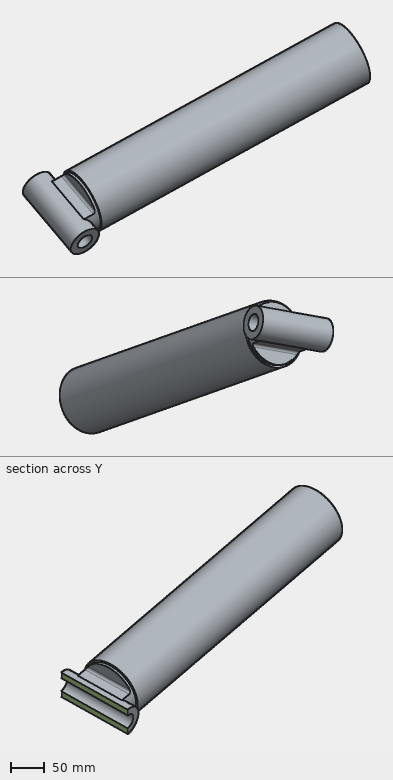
import cadquery as cq
import math

overall_length = 544.5
tilt_angle = 0.32

eye_diameter = 50.5
eye_bore_diameter = 25.5
eye_width = 127.0

body_diameter = 102.0
boss_diameter = 95.5
body_start = 38.5
boss_length = 5.0

neck_thickness = 44.0
neck_fillet = 4.5

tilt = math.radians(tilt_angle)
rear_reach = overall_length - eye_diameter / 2
body_end = (rear_reach - body_diameter / 2 * math.sin(tilt)) / math.cos(tilt)
boss_face = body_start - boss_length


def cylinder_along_y(diameter, start, end):
    """Solid cylinder centred on the Y axis between two Y positions."""
    return cq.Workplane("XZ", origin=(0, start, 0)).circle(diameter / 2).extrude(start - end)


def cylinder_along_x(diameter, length):
    """Solid cylinder centred on the origin along the X axis."""
    return cq.Workplane("YZ").circle(diameter / 2).extrude(length / 2, both=True)


def make_neck_and_boss():
    """Round boss whose front is flattened above and below into the neck."""
    neck_and_boss = cylinder_along_y(boss_diameter, 0, body_start)
    neck_top = neck_thickness / 2
    for side in (-1, 1):
        cutter = (
            cq.Workplane("XY")
            .box(eye_width, boss_face, boss_diameter, centered=(True, False, True))
            .translate((0, 0, side * (neck_top + boss_diameter / 2)))
        )
        inner_edge = "<Z" if side > 0 else ">Z"
        cutter = cutter.faces(">Y").edges(inner_edge).fillet(neck_fillet)
        neck_and_boss = neck_and_boss.cut(cutter)
    return neck_and_boss


body = cylinder_along_y(body_diameter, body_start, body_end)
eye = cylinder_along_x(eye_diameter, eye_width)
eye_bore = cylinder_along_x(eye_bore_diameter, eye_width)

result = (
    body.union(make_neck_and_boss())
    .union(eye)
    .cut(eye_bore)
    .rotate((0, 0, 0), (1, 0, 0), tilt_angle)
)